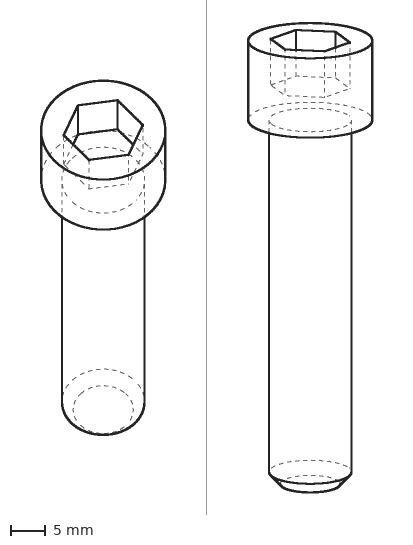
import cadquery as cq

total_length = 67.0
head_diameter = 18.0
shank_diameter = 12.0
head_height = shank_diameter
thread_length = 36.0
tip_diameter = 8.7
tip_height = 1.8
hex_across_flats = 10.05
socket_depth = 7.0
corner_turn = 30

shank_radius = shank_diameter / 2
head_radius = head_diameter / 2
head_bottom = total_length - head_height


def screw_body():
    """Revolve the half outline of tip, thread, plain shank and head."""
    outline = [
        (0, 0),
        (tip_diameter / 2, 0),
        (shank_radius, tip_height),
        (shank_radius, thread_length),
        (shank_radius, head_bottom),
        (head_radius, head_bottom),
        (head_radius, total_length),
        (0, total_length),
    ]
    return cq.Workplane("XZ").polyline(outline).close().revolve(360, (0, 0), (0, 1))


def hex_socket():
    """Flat-bottomed hexagon with two corners on the X axis."""
    return (
        cq.Workplane("XY")
        .workplane(offset=total_length - socket_depth)
        .transformed(rotate=(0, 0, corner_turn))
        .polygon(6, hex_across_flats, circumscribed=True)
        .extrude(socket_depth)
    )


result = screw_body().cut(hex_socket())